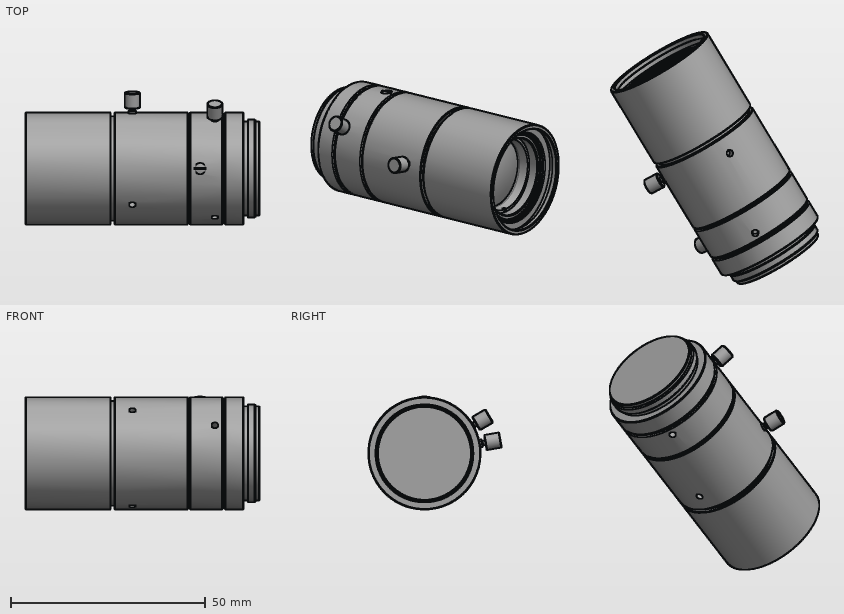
import cadquery as cq
import math

LENGTH = 60.32
BARREL_R = 14.5
EDGE = 0.2
WIDE_EDGE = 0.35

FRONT_END = 22.0
MIDDLE_START, MIDDLE_END = 22.9, 41.85
REAR_START, REAR_END = 42.2, 50.9
TAIL_START, TAIL_END = 51.25, 56.2
WIDE_GROOVE_R = 13.5
NARROW_GROOVE_R = 13.9

MOUNT_R = 12.15
FLANGE_R = 12.65
FLANGE_START, FLANGE_END = 57.3, 59.35
FLANGE_FRONT_EDGE = 0.15

MOUTH_R = 13.3
MOUTH_DEPTH = 2.7
RELIEF_START = 1.35
RELIEF_R = 13.95
RING_R = 12.0
RING_DEPTH = 3.0
RING_STEP_R = 11.65
INNER_RING_R = 11.1
INNER_RING_CHAMFER = 0.3
INNER_RING_DEPTH = 3.7
SLEEVE_R = 10.1
SLEEVE_CHAMFER = 0.25
SLEEVE_DEPTH = 6.4
CONE_FRONT_R = 9.35
LENS_R = 8.95
LENS_EDGE_X = 9.3
LENS_SEAT_LENGTH = 0.5
LENS_SPHERE_R = 25.0

NOTCH_WIDTH = 0.75
NOTCH_TOP_R = 10.0
NOTCH_DEPTH = 0.7

MIDDLE_LOCK = (27.55, 10.0, 15.9)
REAR_LOCK = (48.8, 30.0, 15.3)
HOLES_PER_ROW = 3
HOLE_D = 1.7
HOLE_DEPTH = 3.0
HEAD_D = 4.0
HEAD_LENGTH = 4.0
HEAD_CHAMFER = 0.2
NECK_D = 1.3
NECK_LENGTH = 0.6
SHANK_D = 2.0
SHANK_TAPER = 0.3
SHANK_ROOT_R = 12.5

SLOT_SCREW_X = 45.0
SLOT_SCREW_D = 2.9
SLOT_SCREW_TOP = 14.68
SLOT_SCREW_DOME_R = 5.0
SLOT_SCREW_ROOT = 13.0
SLOT_WIDTH = 0.4
SLOT_DEPTH = 0.35


def chamfered_section(start, end, radius, start_edge, end_edge):
    """Outline points of a barrel section with a chamfer at each end."""
    return [
        (start, radius - start_edge),
        (start + start_edge, radius),
        (end - end_edge, radius),
        (end, radius - end_edge),
    ]


def outer_outline():
    """Outer half profile from the front mouth to the rear face."""
    points = chamfered_section(0, FRONT_END, BARREL_R, EDGE, EDGE)
    points += [(FRONT_END, WIDE_GROOVE_R), (MIDDLE_START, WIDE_GROOVE_R)]
    points += chamfered_section(MIDDLE_START, MIDDLE_END, BARREL_R, EDGE, EDGE)
    points += [(MIDDLE_END, NARROW_GROOVE_R), (REAR_START, NARROW_GROOVE_R)]
    points += chamfered_section(REAR_START, REAR_END, BARREL_R, WIDE_EDGE, WIDE_EDGE)
    points += [(REAR_END, NARROW_GROOVE_R), (TAIL_START, NARROW_GROOVE_R)]
    points += chamfered_section(TAIL_START, TAIL_END, BARREL_R, WIDE_EDGE, EDGE)
    points += [(TAIL_END, MOUNT_R), (FLANGE_START, MOUNT_R)]
    points += chamfered_section(FLANGE_START, FLANGE_END, FLANGE_R, FLANGE_FRONT_EDGE, WIDE_EDGE)
    points += [(FLANGE_END, MOUNT_R), (LENGTH - EDGE, MOUNT_R), (LENGTH, MOUNT_R - EDGE)]
    return points


def opening_outline():
    """Stepped half profile of the opening, from the lens seat out to the mouth."""
    return [
        (LENS_EDGE_X - LENS_SEAT_LENGTH, LENS_R),
        (SLEEVE_DEPTH, CONE_FRONT_R),
        (SLEEVE_DEPTH, SLEEVE_R),
        (INNER_RING_DEPTH + SLEEVE_CHAMFER, SLEEVE_R),
        (INNER_RING_DEPTH, SLEEVE_R + SLEEVE_CHAMFER),
        (INNER_RING_DEPTH, INNER_RING_R),
        (RING_DEPTH + INNER_RING_CHAMFER, INNER_RING_R),
        (RING_DEPTH, INNER_RING_R + INNER_RING_CHAMFER),
        (RING_DEPTH, RING_STEP_R),
        (MOUTH_DEPTH, RING_R),
        (MOUTH_DEPTH, RELIEF_R),
        (RELIEF_START, RELIEF_R),
        (RELIEF_START, MOUTH_R),
        (EDGE, MOUTH_R),
        (0, MOUTH_R + EDGE),
    ]


def barrel():
    """Revolved body, closed inside by the convex front lens."""
    sagitta = LENS_SPHERE_R - math.sqrt(LENS_SPHERE_R**2 - LENS_R**2)
    apex_x = LENS_EDGE_X - sagitta
    half_angle = math.asin(LENS_R / LENS_SPHERE_R) / 2
    arc_middle = (
        apex_x + LENS_SPHERE_R * (1 - math.cos(half_angle)),
        LENS_SPHERE_R * math.sin(half_angle),
    )
    profile = cq.Workplane("XY").moveTo(LENGTH, 0).lineTo(apex_x, 0)
    profile = profile.threePointArc(arc_middle, (LENS_EDGE_X, LENS_R))
    for point in opening_outline() + outer_outline():
        profile = profile.lineTo(*point)
    return profile.close().revolve(360, (0, 0, 0), (1, 0, 0))


def spanner_notches():
    """Two opposite notches across the lens retaining ring."""
    return (
        cq.Workplane("XY")
        .box(NOTCH_DEPTH, NOTCH_WIDTH, 2 * NOTCH_TOP_R, centered=(False, True, True))
        .translate((SLEEVE_DEPTH, 0, 0))
    )


def place_radially(shape, x, angle):
    """Move a shape built along +Z to station x, pointing at angle from +Y toward +Z."""
    return shape.rotate((0, 0, 0), (1, 0, 0), angle - 90).translate((x, 0, 0))


def lock_hole(x, angle):
    """Blind radial hole, with its cutter running out past the barrel surface."""
    hole_floor = cq.Workplane("XY", origin=(0, 0, BARREL_R - HOLE_DEPTH))
    hole = hole_floor.circle(HOLE_D / 2).extrude(2 * HOLE_DEPTH)
    return place_radially(hole, x, angle)


def lock_screw(x, angle, head_seat):
    """Lock screw standing out of the barrel: shank, tapered step, thin neck and chamfered head."""
    head_top = head_seat + HEAD_LENGTH
    neck_start = head_seat - NECK_LENGTH
    screw = (
        cq.Workplane("XZ")
        .moveTo(0, SHANK_ROOT_R)
        .lineTo(SHANK_D / 2, SHANK_ROOT_R)
        .lineTo(SHANK_D / 2, neck_start - SHANK_TAPER)
        .lineTo(NECK_D / 2, neck_start)
        .lineTo(NECK_D / 2, head_seat)
        .lineTo(HEAD_D / 2 - HEAD_CHAMFER, head_seat)
        .lineTo(HEAD_D / 2, head_seat + HEAD_CHAMFER)
        .lineTo(HEAD_D / 2, head_top - HEAD_CHAMFER)
        .lineTo(HEAD_D / 2 - HEAD_CHAMFER, head_top)
        .lineTo(0, head_top)
        .close()
        .revolve(360, (0, 0, 0), (0, 1, 0))
    )
    return place_radially(screw, x, angle)


def slotted_screw():
    """Low domed screw head with a slot along X."""
    shank = cq.Workplane("XY", origin=(SLOT_SCREW_X, 0, SLOT_SCREW_ROOT))
    shank = shank.circle(SLOT_SCREW_D / 2).extrude(SLOT_SCREW_TOP - SLOT_SCREW_ROOT)
    dome_centre = (SLOT_SCREW_X, 0, SLOT_SCREW_TOP - SLOT_SCREW_DOME_R)
    dome = cq.Workplane("XY").sphere(SLOT_SCREW_DOME_R).translate(dome_centre)
    return shank.intersect(dome)


def screw_slot():
    """Straight slot across the full width of the screw head."""
    return (
        cq.Workplane("XY")
        .box(SLOT_SCREW_D, SLOT_WIDTH, 2 * SLOT_DEPTH)
        .translate((SLOT_SCREW_X, 0, SLOT_SCREW_TOP))
    )


body = barrel().cut(spanner_notches())
for station, first_angle, seat in (MIDDLE_LOCK, REAR_LOCK):
    for index in range(1, HOLES_PER_ROW):
        body = body.cut(lock_hole(station, first_angle + index * 360 / HOLES_PER_ROW))
    body = body.union(lock_screw(station, first_angle, seat))

result = body.union(slotted_screw()).cut(screw_slot())